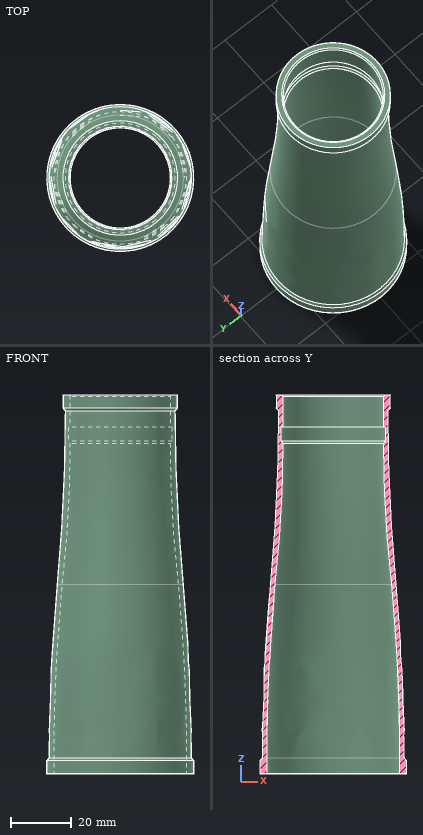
import cadquery as cq
import math

height = 125.8
base_radius = 24.4
top_radius = 19.0

collar_height = 4.4
collar_step = 0.8
collar_end = 5.3
lower_body_radius = base_radius - collar_step
upper_body_radius = top_radius - collar_step

wall = 1.6
bore_chamfer = 0.5

recess_step = 0.6
recess_start = 10.7
recess_end = 15.3
recess_slope_length = 0.8


def halfway_change(radius_change, length):
    """Radius change halfway along an arc that starts parallel to the axis."""
    arc_radius = (length**2 + radius_change**2) / (2 * radius_change)
    return arc_radius - math.sqrt(arc_radius**2 - (length / 2) ** 2)


middle_z = height / 2
middle_radius = (lower_body_radius + upper_body_radius) / 2
half_length = middle_z - collar_end
half_change = (lower_body_radius - upper_body_radius) / 2
body_halfway_change = halfway_change(half_change, half_length)
lower_arc_point = (lower_body_radius - body_halfway_change, collar_end + half_length / 2)
upper_arc_point = (upper_body_radius + body_halfway_change, middle_z + half_length / 2)

bore_radius = upper_body_radius - wall
recess_bottom = height - recess_end
straight_bore_z = recess_bottom - recess_slope_length
bore_arc_length = straight_bore_z - middle_z
upper_bore_point = (
    bore_radius + halfway_change(half_change, bore_arc_length),
    middle_z + bore_arc_length / 2,
)


def make_outside():
    """Solid outside shape: base collar, S-curved body and top collar."""
    profile = (
        cq.Workplane("YZ")
        .lineTo(base_radius, 0)
        .lineTo(base_radius, collar_height)
        .lineTo(lower_body_radius, collar_end)
        .threePointArc(lower_arc_point, (middle_radius, middle_z))
        .threePointArc(upper_arc_point, (upper_body_radius, height - collar_end))
        .lineTo(top_radius, height - collar_height)
        .lineTo(top_radius, height)
        .lineTo(0, height)
        .close()
    )
    return profile.revolve(360, (0, 0), (0, 1))


def make_bore():
    """Through bore: S-curve, straight neck and chamfered mouth."""
    lower_bore_radius = lower_body_radius - wall
    profile = (
        cq.Workplane("YZ")
        .lineTo(lower_bore_radius, 0)
        .lineTo(lower_bore_radius, collar_end)
        .threePointArc((lower_arc_point[0] - wall, lower_arc_point[1]), (middle_radius - wall, middle_z))
        .threePointArc(upper_bore_point, (bore_radius, straight_bore_z))
        .lineTo(bore_radius, height - bore_chamfer)
        .lineTo(bore_radius + bore_chamfer, height)
        .lineTo(0, height)
        .close()
    )
    return profile.revolve(360, (0, 0), (0, 1))


def make_recess():
    """Shallow ring recess in the bore, with a sloped lower edge."""
    recess_radius = bore_radius + recess_step
    profile = (
        cq.Workplane("YZ")
        .moveTo(0, height - recess_start)
        .lineTo(recess_radius, height - recess_start)
        .lineTo(recess_radius, recess_bottom)
        .lineTo(bore_radius, straight_bore_z)
        .lineTo(0, straight_bore_z)
        .close()
    )
    return profile.revolve(360, (0, 0), (0, 1))


result = make_outside().cut(make_bore()).cut(make_recess())